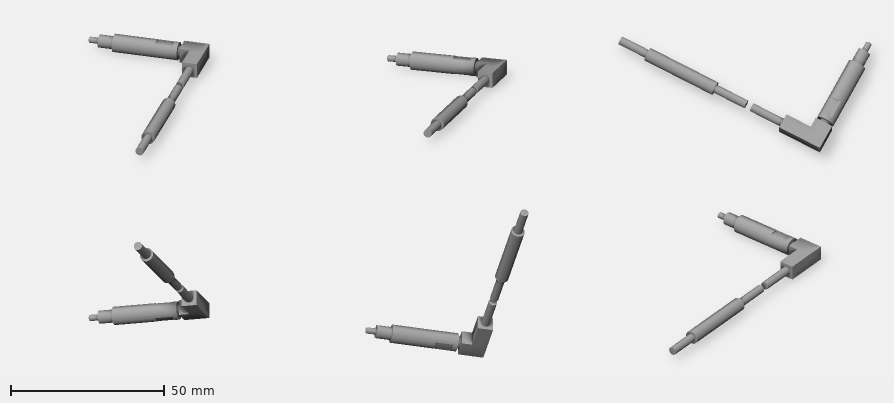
import cadquery as cq
import math

pin_diameter = 2.0
pin_length = 3.5
tip_height = 0.3
collar_diameter = 4.3
collar_length = 5.0
barrel_diameter = 6.0
barrel_length = 22.0
neck_diameter = 4.0
neck_length = 1.0

flat_length = 6.0
flat_end_margin = 1.6
across_flats = 5.0

elbow_length = 8.5
elbow_reach = 15.0
elbow_leg_width = 5.0
elbow_height = elbow_leg_width

cable_diameter = 2.8
near_cable_length = 11.5
cable_gap = 2.0
lead_length = 11.5
sleeve_diameter = 4.5
sleeve_length = 25.0
overall_length = 75.0

collar_start = pin_length
barrel_start = collar_start + collar_length
barrel_end = barrel_start + barrel_length
elbow_start = barrel_end + neck_length
elbow_end = elbow_start + elbow_length
cable_x = elbow_end - elbow_leg_width / 2

elbow_back = barrel_diameter / 2
elbow_inner_y = -barrel_diameter / 2
elbow_front = elbow_back - elbow_reach
near_cable_end = elbow_front - near_cable_length
far_cable_start = near_cable_end - cable_gap
sleeve_start = far_cable_start - lead_length
sleeve_end = sleeve_start - sleeve_length
far_cable_end = elbow_back - overall_length


def rod_along_y(diameter, start_y, end_y):
    """Round rod on the cable axis, from start_y toward -Y to end_y."""
    plane = cq.Plane(origin=(cable_x, start_y, 0), xDir=(1, 0, 0), normal=(0, -1, 0))
    return cq.Workplane(plane).circle(diameter / 2).extrude(start_y - end_y)


def make_plug():
    """Turned pin, collar, barrel and neck, with a domed pin tip."""
    pin_radius = pin_diameter / 2
    dome_radius = (pin_radius**2 + tip_height**2) / (2 * tip_height)
    half_angle = math.asin(pin_radius / dome_radius) / 2
    dome_middle = (dome_radius * (1 - math.cos(half_angle)), dome_radius * math.sin(half_angle))
    plug = (
        cq.Workplane("XY")
        .moveTo(0, 0)
        .threePointArc(dome_middle, (tip_height, pin_radius))
        .lineTo(collar_start, pin_radius)
        .lineTo(collar_start, collar_diameter / 2)
        .lineTo(barrel_start, collar_diameter / 2)
        .lineTo(barrel_start, barrel_diameter / 2)
        .lineTo(barrel_end, barrel_diameter / 2)
        .lineTo(barrel_end, neck_diameter / 2)
        .lineTo(elbow_start, neck_diameter / 2)
        .lineTo(elbow_start, 0)
        .close()
        .revolve(360, (0, 0, 0), (1, 0, 0))
    )
    return cut_wrench_flats(plug)


def cut_wrench_flats(plug):
    """Cut the top and bottom of the barrel down to the across-flats size."""
    flat_middle = barrel_end - flat_end_margin - flat_length / 2
    cutter_height = barrel_diameter
    for side in (1, -1):
        cutter_z = side * (across_flats + cutter_height) / 2
        cutter = cq.Workplane("XY").box(flat_length, barrel_diameter, cutter_height)
        plug = plug.cut(cutter.translate((flat_middle, 0, cutter_z)))
    return plug


def make_elbow():
    """L-shaped block turning from the plug axis to the cable axis."""
    leg_inner_x = elbow_end - elbow_leg_width
    return (
        cq.Workplane("XY")
        .workplane(offset=-elbow_height / 2)
        .moveTo(elbow_start, elbow_back)
        .lineTo(elbow_end, elbow_back)
        .lineTo(elbow_end, elbow_front)
        .lineTo(leg_inner_x, elbow_front)
        .lineTo(leg_inner_x, elbow_inner_y)
        .lineTo(elbow_start, elbow_inner_y)
        .close()
        .extrude(elbow_height)
    )


def make_connector():
    """Plug, elbow and near cable stub as one body."""
    near_cable = rod_along_y(cable_diameter, elbow_front, near_cable_end)
    return make_plug().union(make_elbow()).union(near_cable)


def make_sleeved_cable():
    """Far part of the cable with its sleeve as one body."""
    cable = rod_along_y(cable_diameter, far_cable_start, far_cable_end)
    sleeve = rod_along_y(sleeve_diameter, sleeve_start, sleeve_end)
    return cable.union(sleeve)


connector = make_connector()
sleeved_cable = make_sleeved_cable()

result = cq.Compound.makeCompound([connector.val(), sleeved_cable.val()])